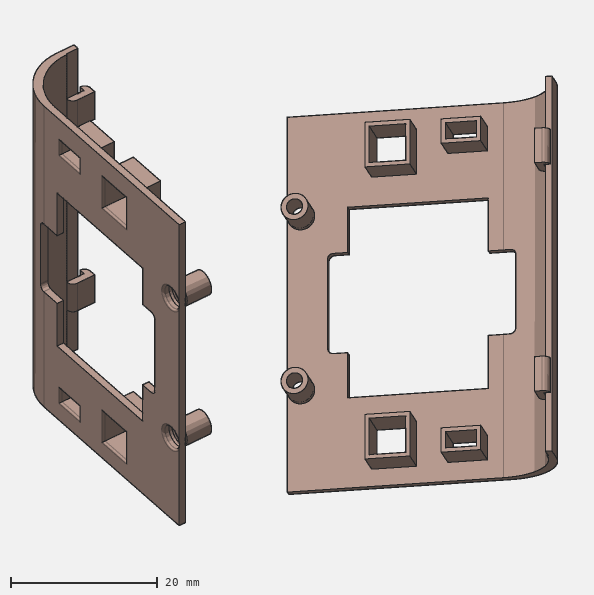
import cadquery as cq
import math

WIDTH = 39.0
HEIGHT = 54.0
WALL = 1.1
BEND_RADIUS = 8.0
INNER_BEND_RADIUS = 7.8
SIDE_DEPTH = 10.95

REBATE_START = 9.0
REBATE_WALL = 0.9

CLIP_DEPTH = 13.0
CLIP_INNER_X = 2.0
CLIP_BARB_START = 12.0
CLIP_NOSE_RADIUS = 0.95
CLIP_FOOT_RADIUS = 1.0
CLIP_HEIGHT = 4.95
CLIP_SPACING = 32.9

WINDOW_LEVEL = -0.25
WINDOW_LEFT = 10.95
WINDOW_RIGHT = 30.55
WINDOW_HEIGHT = 27.45
LEFT_NOTCH_X = 7.1
LEFT_NOTCH_HEIGHT = 12.15
RIGHT_NOTCH_X = 33.35
RIGHT_NOTCH_HEIGHT = 14.4
NOTCH_CORNER_RADIUS = 0.8

BACK_DEPTH = 5.55
SLEEVE_WALL = 0.6
RIM_RADIUS = 0.3
SLEEVE_PAIRS = [
    (13.8, 4.3, 2.3, 44.5),
    (24.1, 5.1, 5.25, 42.05),
]
BOSS_X = 37.05
BOSS_SPACING = 25.05
BOSS_DIAMETER = 3.8
HEAD_DIAMETER = 3.5
HEAD_FLOOR = 1.5
SCREW_DIAMETER = 2.2


def extrude_along_z(outline, height, level=0.0):
    """Extrude an XY outline symmetrically about the given Z level."""
    return outline.extrude(height / 2, both=True).translate((0, 0, level))


def block(x_start, x_end, depth, height, level):
    """Box from the front face backwards, centred on the given Z level."""
    size_x = x_end - x_start
    box = cq.Workplane("XY").box(size_x, depth, height, centered=(False, False, True))
    return box.translate((x_start, 0, level))


def cylinder(diameter, y_start, y_end, level):
    """Round bar along Y on the screw axis at the given Z level."""
    start = cq.Vector(BOSS_X, y_start, level)
    bar = cq.Solid.makeCylinder(diameter / 2, y_end - y_start, start, cq.Vector(0, 1, 0))
    return cq.Workplane(bar)


def mirrored_levels(spacing, middle=0.0):
    """The two Z levels placed equally below and above the middle."""
    return (middle - spacing / 2, middle + spacing / 2)


def bent_shell():
    """Flat front, rounded corner and side wall with a rebated free edge."""
    diagonal = math.sqrt(0.5)
    inner_end = WALL + INNER_BEND_RADIUS
    outer_mid = BEND_RADIUS * (1 - diagonal)
    inner_mid = inner_end - INNER_BEND_RADIUS * diagonal
    outline = (
        cq.Workplane("XY")
        .moveTo(WIDTH, 0)
        .lineTo(BEND_RADIUS, 0)
        .threePointArc((outer_mid, outer_mid), (0, BEND_RADIUS))
        .lineTo(0, SIDE_DEPTH)
        .lineTo(REBATE_WALL, SIDE_DEPTH)
        .lineTo(REBATE_WALL, REBATE_START)
        .lineTo(WALL, REBATE_START)
        .lineTo(WALL, inner_end)
        .threePointArc((inner_mid, inner_mid), (inner_end, WALL))
        .lineTo(WIDTH, WALL)
        .close()
    )
    return extrude_along_z(outline, HEIGHT)


def clip(level):
    """Snap clip with a rounded foot and a barb that points outwards over the side wall."""
    outline = (
        cq.Workplane("XY")
        .moveTo(REBATE_WALL, REBATE_START)
        .lineTo(CLIP_INNER_X - CLIP_FOOT_RADIUS, REBATE_START)
        .radiusArc((CLIP_INNER_X, REBATE_START + CLIP_FOOT_RADIUS), -CLIP_FOOT_RADIUS)
        .lineTo(CLIP_INNER_X, CLIP_DEPTH)
        .lineTo(CLIP_NOSE_RADIUS, CLIP_DEPTH)
        .radiusArc((0, CLIP_DEPTH - CLIP_NOSE_RADIUS), -CLIP_NOSE_RADIUS)
        .lineTo(0, CLIP_BARB_START)
        .lineTo(REBATE_WALL, CLIP_BARB_START)
        .close()
    )
    return extrude_along_z(outline, CLIP_HEIGHT, level)


def window():
    """Cutter for the window with a round-cornered notch on its left and right."""
    middle = (WINDOW_LEFT + WINDOW_RIGHT) / 2
    opening = block(WINDOW_LEFT, WINDOW_RIGHT, BEND_RADIUS, WINDOW_HEIGHT, WINDOW_LEVEL)
    left_notch = block(LEFT_NOTCH_X, middle, BEND_RADIUS, LEFT_NOTCH_HEIGHT, WINDOW_LEVEL)
    right_notch = block(middle, RIGHT_NOTCH_X, BEND_RADIUS, RIGHT_NOTCH_HEIGHT, WINDOW_LEVEL)
    left_notch = left_notch.edges("|Y and <X").fillet(NOTCH_CORNER_RADIUS)
    right_notch = right_notch.edges("|Y and >X").fillet(NOTCH_CORNER_RADIUS)
    return opening.union(left_notch).union(right_notch)


def add_sleeve(body, x, opening_width, opening_height, level):
    """Rectangular tube on the back, open right through, with a rounded front rim."""
    half_width = opening_width / 2
    half_height = opening_height / 2
    half_outer = half_width + SLEEVE_WALL
    outer = block(x - half_outer, x + half_outer, BACK_DEPTH, opening_height + 2 * SLEEVE_WALL, level)
    opening = block(x - half_width, x + half_width, BACK_DEPTH, opening_height, level)
    rim_zone = cq.selectors.BoxSelector(
        (x - half_width - RIM_RADIUS, -RIM_RADIUS, level - half_height - RIM_RADIUS),
        (x + half_width + RIM_RADIUS, RIM_RADIUS, level + half_height + RIM_RADIUS),
    )
    sleeve = outer.cut(opening).faces("<Y").edges(rim_zone).fillet(RIM_RADIUS)
    return body.cut(outer).union(sleeve)


def add_boss(body, level):
    """Screw boss with a head recess from the front and a rounded recess rim."""
    body = body.union(cylinder(BOSS_DIAMETER, 0, BACK_DEPTH, level))
    body = body.cut(cylinder(SCREW_DIAMETER, 0, BACK_DEPTH, level))
    rim_diameter = HEAD_DIAMETER + 2 * RIM_RADIUS
    recess = cylinder(HEAD_DIAMETER, 0, HEAD_FLOOR, level)
    flare = cylinder(rim_diameter, 0, RIM_RADIUS, level)
    ring_centre = cq.Vector(BOSS_X, RIM_RADIUS, level)
    ring = cq.Solid.makeTorus(rim_diameter / 2, RIM_RADIUS, ring_centre, cq.Vector(0, 1, 0))
    return body.cut(recess.union(flare.cut(cq.Workplane(ring))))


result = bent_shell().cut(window())
for clip_level in mirrored_levels(CLIP_SPACING):
    result = result.union(clip(clip_level))
for sleeve_x, sleeve_width, sleeve_height, sleeve_spacing in SLEEVE_PAIRS:
    for sleeve_level in mirrored_levels(sleeve_spacing, WINDOW_LEVEL):
        result = add_sleeve(result, sleeve_x, sleeve_width, sleeve_height, sleeve_level)
for boss_level in mirrored_levels(BOSS_SPACING):
    result = add_boss(result, boss_level)